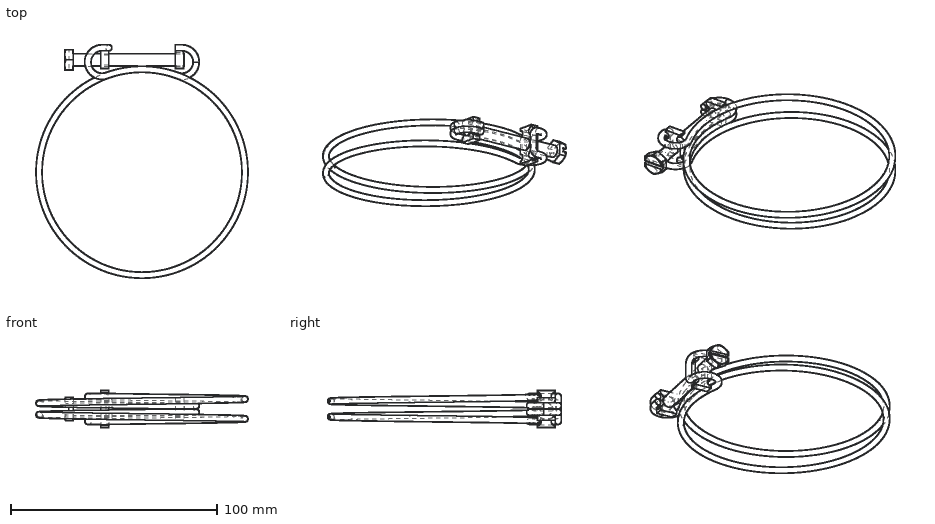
import cadquery as cq
import math


RING_DIAMETER = 103.0
WIRE_DIAMETER = 3.1
OVERALL_DEPTH = 113.4
OUTER_HEIGHT = 6.0
INNER_HEIGHT = 1.6
RING_STEP = 20.0

WIRE_RADIUS = WIRE_DIAMETER / 2
RING_RADIUS = (RING_DIAMETER - WIRE_DIAMETER) / 2

HOOK_RADIUS = 6.9
BEND_RADIUS = 2.7
BAR_X = -16.1
WIRE_END_X = 16.1

HOOK_TOP_Y = OVERALL_DEPTH - RING_DIAMETER / 2 - WIRE_RADIUS
HOOK_Y = HOOK_TOP_Y - HOOK_RADIUS
HOOK_DISTANCE = RING_RADIUS + HOOK_RADIUS
HOOK_X = math.sqrt(HOOK_DISTANCE**2 - HOOK_Y**2)
HOOK_ANGLE = math.degrees(math.atan2(HOOK_X, HOOK_Y))

PLATE_THICKNESS = 4.0
PLATE_WIDTH = 8.6
CLOSED_PLATE_X = -20.1
OPEN_PLATE_X = 16.2
CLOSED_PLATE_HEIGHT = 18.0
OPEN_PLATE_HEIGHT = 11.1
NOTCH_RADIUS = 1.9
CLOSED_NOTCH_OFFSET = 0.0
OPEN_NOTCH_OFFSET = 0.6

PLATE_Y = HOOK_TOP_Y - WIRE_RADIUS - PLATE_WIDTH / 2

SHANK_DIAMETER = 6.0
SHANK_END_X = 20.4
HEAD_FACE_X = -37.5
HEAD_THICKNESS = 4.1
HEAD_SIDES = 6
HEAD_FLATS = 10.0
HEAD_FACE_DIAMETER = 9.8
HEAD_CHAMFER_ANGLE = 30.0
SLOT_WIDTH = 1.8
SLOT_DEPTH = 1.9


def ring_point(angle, height, radius=RING_RADIUS):
    """Point at an angle in degrees, measured clockwise from +Y."""
    turn = math.radians(angle)
    return cq.Vector(radius * math.sin(turn), radius * math.cos(turn), height)


def hook_point(side, angle, height):
    """Point on the hook arc of one side, at an angle in degrees from +X."""
    turn = math.radians(angle)
    x = side * HOOK_X + HOOK_RADIUS * math.cos(turn)
    return cq.Vector(x, HOOK_Y + HOOK_RADIUS * math.sin(turn), height)


def tube(edges):
    """Round wire along a chain of edges."""
    path = cq.Wire.assembleEdges(edges)
    plane = cq.Plane(origin=path.startPoint(), normal=path.tangentAt(0))
    return cq.Workplane(plane).circle(WIRE_RADIUS).sweep(cq.Workplane(path))


def closed_hook_edges():
    """Half the cross bar, the bend and the closed hook, down to the ring."""
    bend_end_x = BAR_X - BEND_RADIUS
    bend_z = OUTER_HEIGHT - BEND_RADIUS
    mid_shift = BEND_RADIUS * (1 - math.sqrt(0.5))
    bar_start = cq.Vector(BAR_X, HOOK_TOP_Y, 0)
    bar_end = cq.Vector(BAR_X, HOOK_TOP_Y, bend_z)
    bend_mid = cq.Vector(BAR_X - mid_shift, HOOK_TOP_Y, OUTER_HEIGHT - mid_shift)
    bend_end = cq.Vector(bend_end_x, HOOK_TOP_Y, OUTER_HEIGHT)
    hook_top = hook_point(-1, 90, OUTER_HEIGHT)
    hook_side = hook_point(-1, 180, OUTER_HEIGHT)
    hook_end = ring_point(-HOOK_ANGLE, OUTER_HEIGHT)
    return [
        cq.Edge.makeLine(bar_start, bar_end),
        cq.Edge.makeThreePointArc(bar_end, bend_mid, bend_end),
        cq.Edge.makeLine(bend_end, hook_top),
        cq.Edge.makeThreePointArc(hook_top, hook_side, hook_end),
    ]


def turn_edge():
    """Just over one clockwise turn, sloping evenly and level at both ends."""
    sweep_angle = 360 + 2 * HOOK_ANGLE
    steps = math.ceil(sweep_angle / RING_STEP)
    points = []
    for i in range(steps + 1):
        height = OUTER_HEIGHT + (INNER_HEIGHT - OUTER_HEIGHT) * i / steps
        points.append(ring_point(-HOOK_ANGLE + sweep_angle * i / steps, height))
    start_direction = ring_point(90 - HOOK_ANGLE, 0, 1)
    end_direction = ring_point(90 + HOOK_ANGLE, 0, 1)
    return cq.Edge.makeSpline(points, tangents=[start_direction, end_direction], scale=False)


def open_hook_edge():
    """Lower part of the open hook, from the ring to the side of the hook."""
    start = ring_point(HOOK_ANGLE, INNER_HEIGHT)
    middle = hook_point(1, -45, INNER_HEIGHT)
    return cq.Edge.makeThreePointArc(start, middle, hook_point(1, 0, INNER_HEIGHT))


def make_wire():
    """Both turns, joined through the cross bar of the closed hooks."""
    half = tube(closed_hook_edges() + [turn_edge(), open_hook_edge()])
    return half.union(half.mirror("XY"))


def make_wire_end(side):
    """Free wire end: the upper quarter of an open hook and a straight end."""
    height = side * INNER_HEIGHT
    hook_side = hook_point(1, 0, height)
    hook_middle = hook_point(1, 45, height)
    hook_top = hook_point(1, 90, height)
    tip = cq.Vector(WIRE_END_X, HOOK_TOP_Y, height)
    return tube([
        cq.Edge.makeThreePointArc(hook_side, hook_middle, hook_top),
        cq.Edge.makeLine(hook_top, tip),
    ])


def make_plate(start_x, height, wire_height, notch_offset):
    """Cross plate with a screw hole and a round notch for each wire on both edges."""
    plate = (
        cq.Workplane("YZ", origin=(start_x, PLATE_Y, 0))
        .rect(PLATE_WIDTH, height)
        .extrude(PLATE_THICKNESS)
    )
    hole = (
        cq.Workplane("YZ", origin=(start_x, PLATE_Y, 0))
        .circle(SHANK_DIAMETER / 2)
        .extrude(PLATE_THICKNESS)
    )
    notches = (
        cq.Workplane("YZ", origin=(start_x, PLATE_Y, 0))
        .rect(PLATE_WIDTH + 2 * notch_offset, 2 * wire_height, forConstruction=True)
        .vertices()
        .circle(NOTCH_RADIUS)
        .extrude(PLATE_THICKNESS)
    )
    return plate.cut(hole).cut(notches)


def make_screw():
    """Slotted hexagon-head screw with its outer head corners chamfered."""
    corner_diameter = HEAD_FLATS / math.cos(math.pi / HEAD_SIDES)
    chamfer_width = (corner_diameter - HEAD_FACE_DIAMETER) / 2
    chamfer_depth = chamfer_width * math.tan(math.radians(HEAD_CHAMFER_ANGLE))
    shank_start_x = HEAD_FACE_X + HEAD_THICKNESS

    head = (
        cq.Workplane("YZ", origin=(HEAD_FACE_X, PLATE_Y, 0))
        .transformed(rotate=(0, 0, 90))
        .polygon(HEAD_SIDES, corner_diameter)
        .extrude(HEAD_THICKNESS)
    )
    chamfered_round = (
        cq.Workplane("YZ", origin=(HEAD_FACE_X, PLATE_Y, 0))
        .circle(corner_diameter / 2)
        .extrude(HEAD_THICKNESS)
        .faces("<X")
        .chamfer(chamfer_depth, chamfer_width)
    )
    slot = cq.Workplane(
        origin=(HEAD_FACE_X + SLOT_DEPTH / 2, PLATE_Y, 0)
    ).box(SLOT_DEPTH, corner_diameter, SLOT_WIDTH)
    shank = (
        cq.Workplane("YZ", origin=(shank_start_x, PLATE_Y, 0))
        .circle(SHANK_DIAMETER / 2)
        .extrude(SHANK_END_X - shank_start_x)
    )
    return head.intersect(chamfered_round).cut(slot).union(shank)


wire = make_wire()
wire_ends = [make_wire_end(side) for side in (1, -1)]
closed_plate = make_plate(
    CLOSED_PLATE_X, CLOSED_PLATE_HEIGHT, OUTER_HEIGHT, CLOSED_NOTCH_OFFSET
)
open_plate = make_plate(
    OPEN_PLATE_X, OPEN_PLATE_HEIGHT, INNER_HEIGHT, OPEN_NOTCH_OFFSET
)
screw = make_screw()

result = cq.Compound.makeCompound([
    wire.val(),
    *[end.val() for end in wire_ends],
    closed_plate.val(),
    open_plate.val(),
    screw.val(),
])